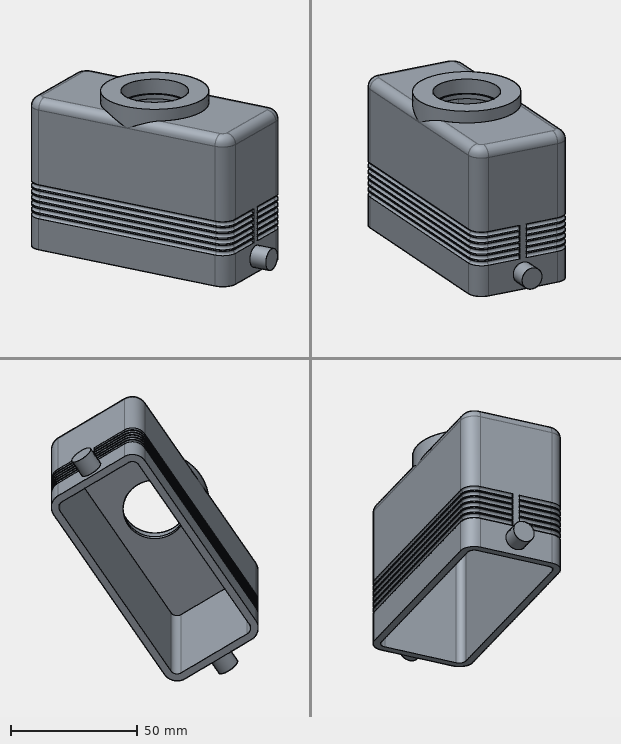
import cadquery as cq

overall_length = 108.0
overall_height = 68.0
body_length = 93.3
body_width = 43.0
body_height = 63.1

wall = 3.0
corner_radius = 5.9
top_fillet = 4.1

collar_radius = body_width / 2
entry_radius = 13.4
entry_depth = 6.0
lip_radius = 12.5

peg_diameter = 9.0
peg_height = 7.0

groove_count = 6
groove_pitch = 2.5
groove_radius = 0.92
lowest_groove_height = 14.0
groove_gap = 2.8


def rounded_block(length, width, height, radius):
    """Upright block on the XY plane with rounded vertical corners."""
    block = cq.Workplane("XY").box(length, width, height, centered=(True, True, False))
    return block.edges("|Z").fillet(radius)


def outer_body():
    block = rounded_block(body_length, body_width, body_height, corner_radius)
    return block.faces(">Z").edges().fillet(top_fillet)


def collar():
    """Round collar that sinks into the rounded top edges down to the flat sides."""
    base = body_height - top_fillet
    return cq.Workplane("XY").workplane(offset=base).circle(collar_radius).extrude(overall_height - base)


def pegs():
    """One rod through both ends; the hollow later splits it into two pegs."""
    rod = cq.Workplane("YZ").center(0, peg_height).circle(peg_diameter / 2)
    return rod.extrude(overall_length / 2, both=True)


def hollow():
    """Inside of the shell, open at the bottom."""
    return rounded_block(
        body_length - 2 * wall,
        body_width - 2 * wall,
        body_height - wall,
        corner_radius - wall,
    )


def cable_entry():
    """Bore through the collar and roof, stepping in to a thin lip."""
    bore = cq.Workplane("XY").workplane(offset=overall_height).circle(entry_radius).extrude(-entry_depth)
    roof_depth = overall_height - body_height + wall
    lip = cq.Workplane("XY").workplane(offset=overall_height).circle(lip_radius).extrude(-roof_depth)
    return bore.union(lip)


def groove(height):
    """Half-round groove around the body, interrupted at the middle of each end."""
    half_length = body_length / 2
    half_width = body_width / 2
    path = (
        cq.Workplane("XY", origin=(0, 0, height))
        .moveTo(0, -half_width)
        .lineTo(half_length - corner_radius, -half_width)
        .radiusArc((half_length, corner_radius - half_width), -corner_radius)
        .lineTo(half_length, -groove_gap / 2)
    )
    section = cq.Workplane("YZ", origin=(0, -half_width, height)).circle(groove_radius)
    quarter = section.sweep(path)
    half = quarter.union(quarter.mirror("YZ"))
    return half.union(half.mirror("XZ"))


result = outer_body().union(collar()).union(pegs()).cut(hollow()).cut(cable_entry())
for index in range(groove_count):
    result = result.cut(groove(lowest_groove_height + index * groove_pitch))